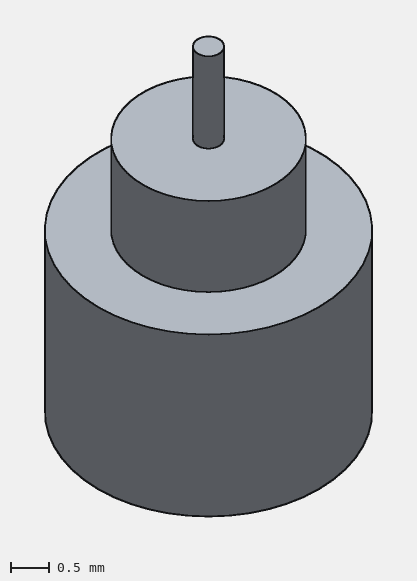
import cadquery as cq

total_height = 6.1
body_diameter = 4.2
body_height = 3.04
collar_diameter = 2.5
collar_height = 1.52
insulator_diameter = 1.95
pin_diameter = 0.4

collar_top = body_height + collar_height


def cylinder(diameter, bottom, top):
    """Solid cylinder on the Z axis between two heights."""
    return cq.Workplane("XY").workplane(offset=bottom).circle(diameter / 2).extrude(top - bottom)


body = cylinder(body_diameter, 0, body_height)
collar = cylinder(collar_diameter, body_height, collar_top)
shell = body.union(collar)

insulator = cylinder(insulator_diameter, body_height, collar_top)
shell = shell.cut(insulator)

pin = cylinder(pin_diameter, collar_top, total_height)

result = shell.union(insulator, clean=False).union(pin, clean=False)